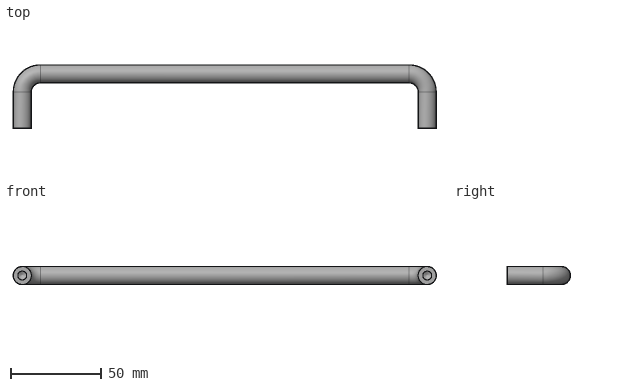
import cadquery as cq
import math

length = 234.0
projection = 35.0
rod_diameter = 10.0
bend_radius = 10.0

hole_diameter = 5.0
hole_depth = 10.0
drill_point_angle = 118.0

rod_radius = rod_diameter / 2
foot_x = length / 2 - rod_radius
foot_y = -projection / 2
grip_y = projection / 2 - rod_radius


def make_rod():
    """Round bar swept along a U-shaped path with rounded corners."""
    bend_y = grip_y - bend_radius
    straight_x = foot_x - bend_radius
    path = (
        cq.Workplane("XY")
        .moveTo(-foot_x, foot_y)
        .lineTo(-foot_x, bend_y)
        .radiusArc((-straight_x, grip_y), bend_radius)
        .lineTo(straight_x, grip_y)
        .radiusArc((foot_x, bend_y), bend_radius)
        .lineTo(foot_x, foot_y)
    )
    profile = cq.Workplane("XZ", origin=(-foot_x, foot_y, 0)).circle(rod_radius)
    return profile.sweep(path)


def make_hole(x):
    """Blind hole with a conical drill point, entering a foot along +Y."""
    hole_radius = hole_diameter / 2
    tip_length = hole_radius / math.tan(math.radians(drill_point_angle / 2))
    return (
        cq.Workplane("XY", origin=(x, foot_y, 0))
        .lineTo(hole_radius, 0)
        .lineTo(hole_radius, hole_depth)
        .lineTo(0, hole_depth + tip_length)
        .close()
        .revolve(360, (0, 0, 0), (0, 1, 0))
    )


result = make_rod()
for side in (-1, 1):
    result = result.cut(make_hole(side * foot_x))